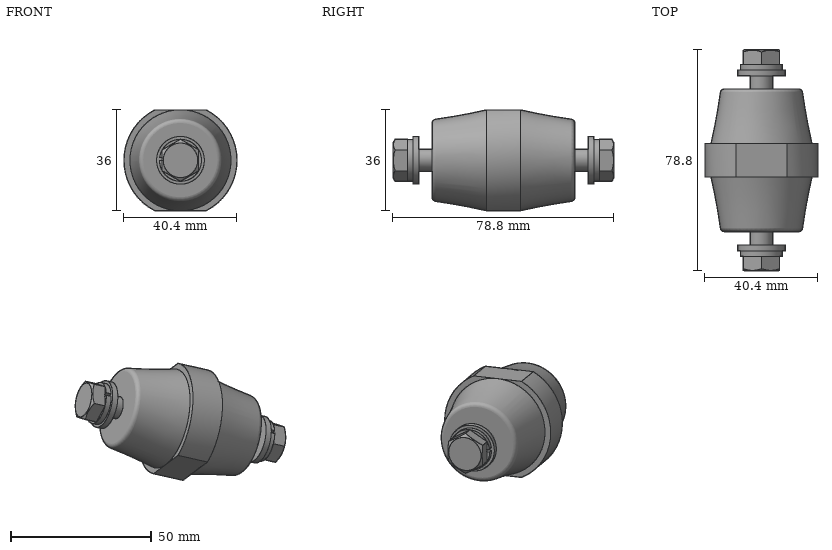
import cadquery as cq
import math


overall_length = 78.8
body_length = 50.9

band_diameter = 40.35
band_width = 12.0
band_height = 36.0
barrel_root_diameter = band_height
barrel_end_diameter = 29.0
barrel_sag = 0.2
barrel_end_fillet = 1.5

shank_diameter = 8.0
shank_engagement = 10.0
flat_washer_diameter = 17.0
flat_washer_thickness = 2.1
spring_washer_diameter = 15.0
spring_washer_thickness = 2.0
spring_gap_angle = 8.0
head_height = 5.2
head_across_flats = 13.0
head_face_diameter = 12.3
head_chamfer_angle = 30.0

body_end = body_length / 2
head_end = overall_length / 2
head_seat = head_end - head_height
spring_seat = head_seat - spring_washer_thickness
washer_seat = spring_seat - flat_washer_thickness
shank_tip = body_end - shank_engagement


def cylinder(diameter, start, end):
    """Solid cylinder about the Y axis between two Y positions."""
    return (
        cq.Workplane("XZ", origin=(0, start, 0))
        .circle(diameter / 2)
        .extrude(start - end)
    )


def revolve_about_y(profile, angle=360):
    """Revolve an XY profile, drawn at positive X, about the Y axis."""
    return profile.revolve(angle, (0, 0, 0), (0, 1, 0))


def make_barrel():
    """Waisted-in barrel half on the +Y side, with a rounded end rim."""
    root_radius = barrel_root_diameter / 2
    end_radius = barrel_end_diameter / 2
    taper = root_radius - end_radius
    band_edge = band_width / 2
    rise = body_end - band_edge
    side_length = math.hypot(rise, taper)
    bow_x = (root_radius + end_radius) / 2 - barrel_sag * rise / side_length
    bow_y = (band_edge + body_end) / 2 - barrel_sag * taper / side_length
    profile = (
        cq.Workplane("XY")
        .lineTo(root_radius, 0)
        .lineTo(root_radius, band_edge)
        .threePointArc((bow_x, bow_y), (end_radius, body_end))
        .lineTo(0, body_end)
        .close()
    )
    return revolve_about_y(profile).faces(">Y").edges().fillet(barrel_end_fillet)


def make_body():
    """Two mirrored barrels, a flatted middle band and a blind hole in each end."""
    flats = cq.Workplane("XY").box(band_diameter, band_width, band_height)
    band = cylinder(band_diameter, -band_width / 2, band_width / 2).intersect(flats)
    barrel = make_barrel()
    body = band.union(barrel).union(barrel.mirror("XZ"))
    for side in (-1, 1):
        body = body.cut(cylinder(shank_diameter, side * shank_tip, side * body_end))
    return body


def make_head():
    """Hexagon head, flats facing X, with a conical chamfer on its outer face."""
    across_corners = head_across_flats / math.cos(math.radians(30))
    hexagon = (
        cq.Workplane("XZ", origin=(0, head_seat, 0))
        .transformed(rotate=(0, 0, 30))
        .polygon(6, across_corners)
        .extrude(-head_height)
    )
    corner_radius = across_corners / 2
    face_radius = head_face_diameter / 2
    chamfer_drop = (corner_radius - face_radius) * math.tan(math.radians(head_chamfer_angle))
    envelope = (
        cq.Workplane("XY")
        .moveTo(0, head_seat)
        .lineTo(corner_radius, head_seat)
        .lineTo(corner_radius, head_end - chamfer_drop)
        .lineTo(face_radius, head_end)
        .lineTo(0, head_end)
        .close()
    )
    return hexagon.intersect(revolve_about_y(envelope))


def make_spring_washer():
    """Split ring whose gap lies on the -X side, just above the XY plane."""
    ring_width = (spring_washer_diameter - shank_diameter) / 2
    ring_middle = (spring_washer_diameter + shank_diameter) / 4
    section = (
        cq.Workplane("XY")
        .center(-ring_middle, (spring_seat + head_seat) / 2)
        .rect(ring_width, spring_washer_thickness)
    )
    return section.revolve(360 - spring_gap_angle, (ring_middle, 0, 0), (ring_middle, -1, 0))


def make_bolt():
    """Bolt on the +Y side, made in one piece with its two washers."""
    return (
        cylinder(shank_diameter, shank_tip, head_seat)
        .union(cylinder(flat_washer_diameter, washer_seat, spring_seat))
        .union(make_spring_washer())
        .union(make_head())
    )


body = make_body()

bolts = []
for mirrored in (False, True):
    bolt = make_bolt()
    if mirrored:
        bolt = bolt.mirror("XZ")
    bolts.append(bolt.val())

result = cq.Compound.makeCompound([body.val(), *bolts])